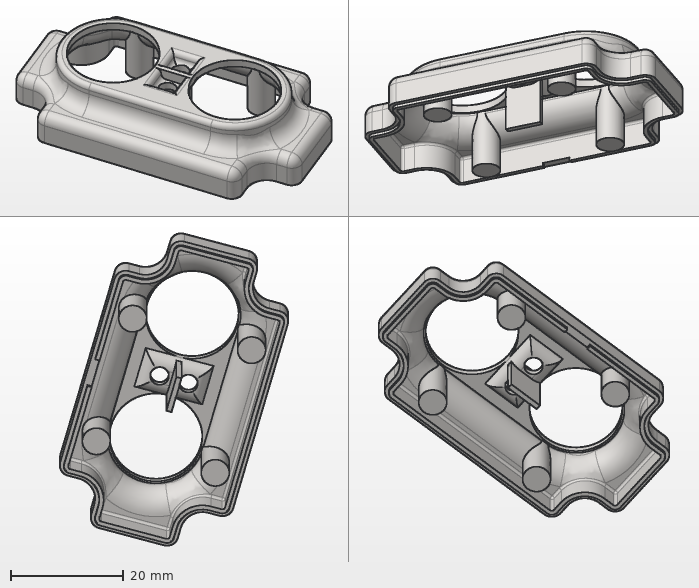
import cadquery as cq
length = 56.0
width = 32.0
arm_length = 40.0
arm_width = 16.0
corner_radius = 2.0
scoop_radius = 4.0

height = 12.2
lip_bottom = 0.6
lip_top = 1.25
base_top = 7.3

wall = 1.5
lip_inset = 0.7
notch_length = 5.2

eye_spacing = 23.95
eye_diameter = 16.5
neck_radius = 10.15
neck_fillet = 3.0
neck_edge_radius = 1.0

recess_length = 6.6
recess_width = 11.65
recess_curve = 1.0
recess_depth = 2 * recess_curve
barrier_thickness = 0.95
sensor_diameter = 3.3
sensor_spacing = 5.3

post_diameter = 5.0
post_spacing_y = 21.95

margin = 0.05

post_points = [(x * eye_spacing / 2, y * post_spacing_y / 2) for x in (-1, 1) for y in (-1, 1)]


def bar(size_x, size_y, radius, bottom, top):
    """Rectangular bar with rounded vertical corners."""
    block = cq.Workplane("XY", origin=(0, 0, bottom)).rect(size_x, size_y).extrude(top - bottom)
    return block.edges("|Z").fillet(radius)


def cross_plate(inset, bottom, top):
    """Cross-shaped plate between two heights, its outline drawn in by an inset."""
    radius = corner_radius - inset
    long_bar = bar(length - 2 * inset, arm_width - 2 * inset, radius, bottom, top)
    wide_bar = bar(arm_length - 2 * inset, width - 2 * inset, radius, bottom, top)
    plate = long_bar.union(wide_bar)
    inner_x = arm_length / 2 - inset + margin
    inner_y = arm_width / 2 - inset + margin
    inner_corners = cq.selectors.BoxSelector((-inner_x, -inner_y, bottom), (inner_x, inner_y, top))
    return plate.edges("|Z").edges(inner_corners).fillet(scoop_radius + inset)


def rounded_form(inset):
    """Solid rounded base flowing into the raised neck, drawn in by an inset everywhere but below."""
    base_z = base_top - inset
    neck_z = height - inset
    radius = neck_radius - inset
    base = cross_plate(inset, lip_bottom, base_z).faces(">Z").edges().fillet(corner_radius - inset)
    neck = (
        cq.Workplane("XY", origin=(0, 0, lip_bottom))
        .slot2D(eye_spacing + 2 * radius, 2 * radius)
        .extrude(neck_z - lip_bottom)
    )
    reach_x = eye_spacing / 2 + radius + margin
    reach_y = radius + margin
    neck_foot = cq.selectors.BoxSelector(
        (-reach_x, -reach_y, base_z - margin),
        (reach_x, reach_y, base_z + margin),
    )
    form = base.union(neck).edges(neck_foot).fillet(neck_fillet + inset)
    if inset < neck_edge_radius:
        form = form.faces(">Z").edges().fillet(neck_edge_radius - inset)
    return form


def recess_profile(plane, size):
    """Recess section: each wall rolls over from the top face, then curves out onto the floor."""
    rim = size / 2
    middle = rim - recess_curve
    floor = middle - recess_curve
    middle_z = height - recess_curve
    floor_z = height - recess_depth
    return (
        cq.Workplane(plane)
        .moveTo(-rim, height)
        .radiusArc((-middle, middle_z), recess_curve)
        .radiusArc((-floor, floor_z), -recess_curve)
        .lineTo(floor, floor_z)
        .radiusArc((middle, middle_z), -recess_curve)
        .radiusArc((rim, height), recess_curve)
        .close()
    )


def housing_profile(plane, size):
    """Section of the recess housing, one wall thickness outside the recess."""
    floor = size / 2 - 2 * recess_curve
    curve = recess_curve + wall
    middle_z = height - recess_curve
    return (
        cq.Workplane(plane)
        .moveTo(-floor - curve, middle_z)
        .radiusArc((-floor, middle_z - curve), -curve)
        .lineTo(floor, middle_z - curve)
        .radiusArc((floor + curve, middle_z), -curve)
        .close()
    )


def crossed(profile):
    """Intersection of one section run along Y and one run along X, giving mitred corners."""
    along_y = profile("XZ", recess_length).extrude(width / 2, both=True)
    along_x = profile("YZ", recess_width).extrude(length / 2, both=True)
    return along_y.intersect(along_x)


def posts(top):
    """Four round posts standing on the lowest plane."""
    return cq.Workplane("XY").pushPoints(post_points).circle(post_diameter / 2).extrude(top)


outer = rounded_form(0)
result = outer.cut(rounded_form(wall))

lip_step = cross_plate(0, lip_bottom, lip_top).cut(cross_plate(lip_inset, lip_bottom, lip_top))
result = result.cut(lip_step)

notch = cq.Workplane("XY").box(notch_length, wall, lip_top - lip_bottom, centered=(True, False, False))
result = result.cut(notch.translate((0, -width / 2, lip_bottom)))

result = result.union(crossed(housing_profile))

eyes = (
    cq.Workplane("XY", origin=(0, 0, lip_top))
    .pushPoints([(-eye_spacing / 2, 0), (eye_spacing / 2, 0)])
    .circle(eye_diameter / 2)
    .extrude(height)
)
result = result.cut(eyes)

result = result.cut(crossed(recess_profile))

barrier = (
    cq.Workplane("XY", origin=(0, 0, lip_bottom))
    .rect(recess_length, barrier_thickness)
    .extrude(height - lip_bottom)
)
result = result.union(barrier)

sensors = (
    cq.Workplane("XY")
    .pushPoints([(0, -sensor_spacing / 2), (0, sensor_spacing / 2)])
    .circle(sensor_diameter / 2)
    .extrude(height)
)
result = result.cut(sensors)

columns = posts(height).intersect(outer)
feet = posts(lip_bottom)
result = result.union(columns).union(feet)